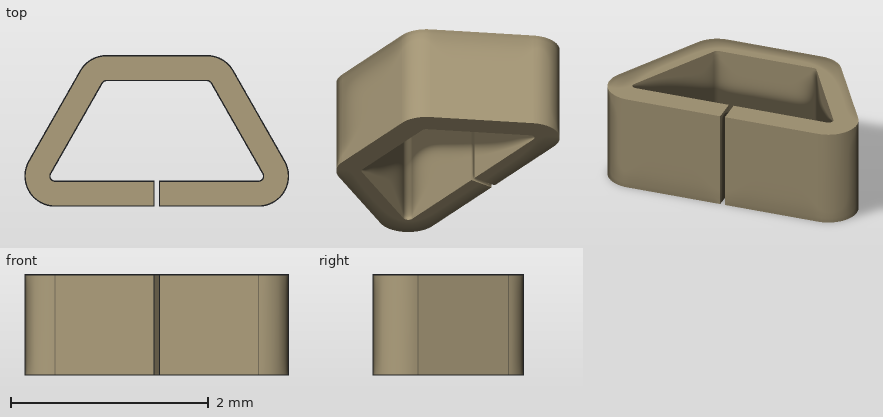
import cadquery as cq

width = 2.667
depth = 1.524
height = 1.016
wall = 0.254
inner_radius = 0.0508
gap = 0.0508
short_flat = 1.016

outer_radius = inner_radius + wall
bend_depth = depth - 2 * outer_radius
long_half = width / 2 - outer_radius
short_half = short_flat / 2
front_y = -bend_depth / 2
back_y = bend_depth / 2


def rounded_trapezoid(radius):
    """Prism around the trapezoid of bend centres, grown by the bend radius."""
    bend_centres = [
        (-long_half, front_y),
        (long_half, front_y),
        (short_half, back_y),
        (-short_half, back_y),
    ]
    return cq.Workplane("XY").polyline(bend_centres).close().offset2D(radius, "arc").extrude(height)


def slit():
    """Block that opens the ring through the front wall."""
    front_wall_middle = front_y - inner_radius - wall / 2
    slit_length = wall + inner_radius
    return (
        cq.Workplane("XY")
        .center(0, front_wall_middle)
        .rect(gap, slit_length)
        .extrude(height)
    )


ring = rounded_trapezoid(outer_radius).cut(rounded_trapezoid(inner_radius))
result = ring.cut(slit())